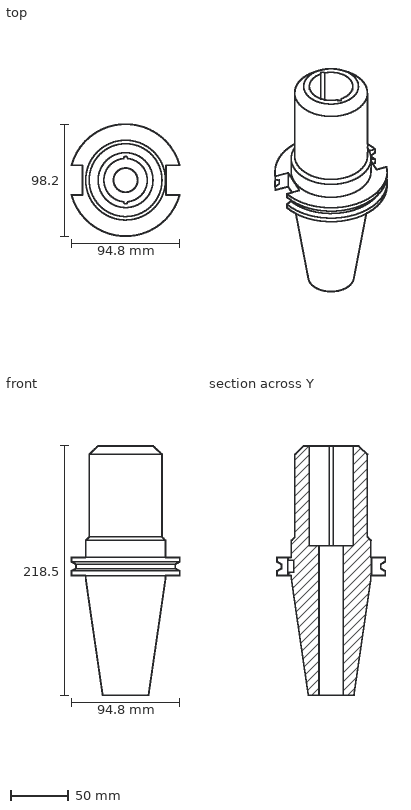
import cadquery as cq
import math

total_length = 218.5

taper_length = 101.5
gauge_radius = 35.0
taper_ratio = 7 / 24
taper_end_radius = gauge_radius - taper_length * taper_ratio / 2

flange_bottom = 104.9
flange_top = 120.8
flange_radius = 49.1
groove_center = 113.0
groove_floor_radius = 45.5
groove_floor_width = 3.7
groove_wall_angle = 30.0

nose_radius = 32.0
shoulder_top = 138.7
shoulder_chamfer = gauge_radius - nose_radius
nose_tip_radius = 24.0
nose_chamfer_height = 7.5

bore_radius = 19.0
bore_depth = 87.4
through_radius = 10.5
relief_radius = 1.7

slot_width = 25.8
slot_floor_left = -37.8
slot_floor_right = 35.4
dimple_radius = 5.0
dimple_depth = 5.0


def make_body():
    """Revolve the outer profile about the Z axis."""
    groove_depth = flange_radius - groove_floor_radius
    floor_half = groove_floor_width / 2
    mouth_half = floor_half + groove_depth * math.tan(math.radians(groove_wall_angle))
    profile = [
        (0, 0),
        (taper_end_radius, 0),
        (gauge_radius, taper_length),
        (gauge_radius, flange_bottom),
        (flange_radius, flange_bottom),
        (flange_radius, groove_center - mouth_half),
        (groove_floor_radius, groove_center - floor_half),
        (groove_floor_radius, groove_center + floor_half),
        (flange_radius, groove_center + mouth_half),
        (flange_radius, flange_top),
        (gauge_radius, flange_top),
        (gauge_radius, shoulder_top - shoulder_chamfer),
        (nose_radius, shoulder_top),
        (nose_radius, total_length - nose_chamfer_height),
        (nose_tip_radius, total_length),
        (0, total_length),
    ]
    return cq.Workplane("XZ").polyline(profile).close().revolve(360, (0, 0), (0, 1))


def make_bore():
    """Stepped bore with a round relief groove on each Y side."""
    through_hole = cq.Workplane("XY").circle(through_radius).extrude(total_length)
    bore_plane = cq.Workplane("XY").workplane(offset=total_length - bore_depth)
    bore = bore_plane.circle(bore_radius).extrude(bore_depth)
    reliefs = (
        bore_plane.pushPoints([(0, bore_radius), (0, -bore_radius)])
        .circle(relief_radius)
        .extrude(bore_depth)
    )
    return through_hole.union(bore).union(reliefs)


def make_drive_slot(floor_x):
    """Square slot through the flange, open outward from floor_x."""
    outer_x = math.copysign(flange_radius, floor_x)
    slot_depth = abs(outer_x - floor_x)
    return (
        cq.Workplane("XY", origin=((floor_x + outer_x) / 2, 0, flange_bottom))
        .rect(slot_depth, slot_width)
        .extrude(flange_top - flange_bottom)
    )


def make_dimple():
    """Blind round hole in the floor of the left drive slot."""
    slot_floor = cq.Workplane("YZ", origin=(slot_floor_left, 0, groove_center))
    return slot_floor.circle(dimple_radius).extrude(dimple_depth)


result = make_body().cut(make_bore())
for slot_floor_x in (slot_floor_left, slot_floor_right):
    result = result.cut(make_drive_slot(slot_floor_x))
result = result.cut(make_dimple())